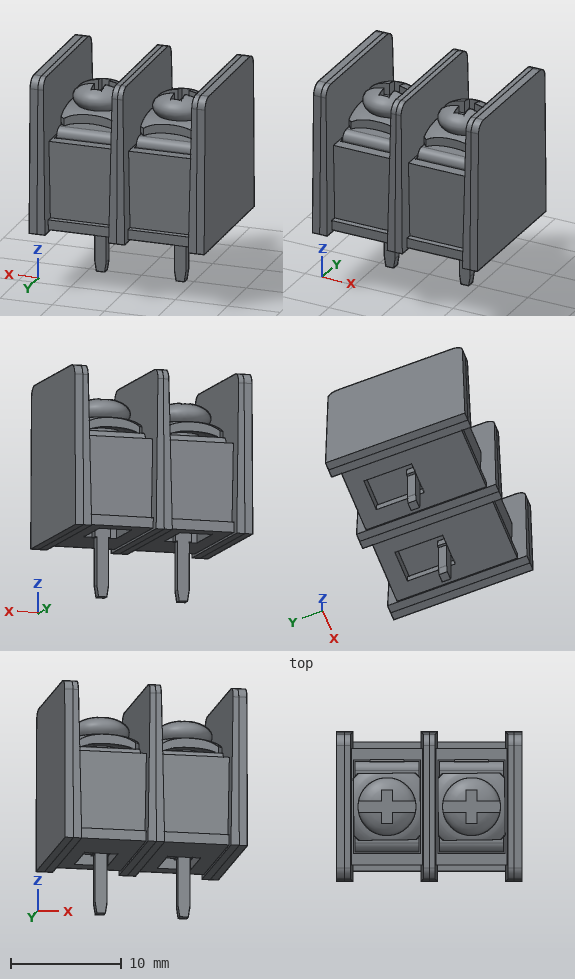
import cadquery as cq
import math

POLES = 2
PITCH = 7.62

WALL_HEIGHT = 14.8
WALL_FOOT_DEPTH = 13.5
WALL_TOP_DEPTH = 12.98
WALL_CORNER_RADIUS = 1.0
HALF_WALL_FOOT = 0.76
HALF_WALL_TOP = 0.5
TOTAL_WIDTH = 16.75
END_PLATE_THICKNESS = (TOTAL_WIDTH - POLES * PITCH) / 2

BASE_BOTTOM = 0.22
BASE_TOP = 1.17
BASE_DEPTH = 11.65
BLOCK_TOP = 8.48
BLOCK_DEPTH = 10.5
CAVITY_WIDTH = 6.03
CAVITY_DEPTH = 8.45
FLOOR_TOP = BASE_TOP
FLOOR_SLOT_WIDTH = 3.05

TERMINAL_WIDTH = 5.79
TERMINAL_DEPTH = 8.12
TERMINAL_TOP = 9.3
TERMINAL_EDGE_RADIUS = 0.8
PIN_WIDTH = 1.1
PIN_THICKNESS = 0.8
TOTAL_HEIGHT = 20.1
PIN_TIP = WALL_HEIGHT - TOTAL_HEIGHT
PIN_TIP_WIDTH = 0.78
PIN_TAPER_LENGTH = 1.0
SHOULDER_WIDTH = 1.5
SHOULDER_BOTTOM = 0.15

WASHER_SIZE = 6.0
WASHER_CORNER = 0.4
WASHER_TURN = 0.8
WASHER_TOP = 10.8
WASHER_FLAT_RADIUS = 2.13
WASHER_TOP_ARC_RADIUS = 2.51
WASHER_UNDERSIDE = 9.9
WASHER_UNDERSIDE_ARC_RADIUS = 3.02

SHANK_DIAMETER = 3.0
SHANK_DEPTH_IN_TERMINAL = 4.02
HEAD_RADIUS = 2.61
HEAD_HALF_HEIGHT = 1.35
HEAD_MIDDLE = 11.45
SLOT_WIDTH = 1.03
CROSS_SLOT_LENGTH = 3.02
SLOT_DEPTH = 1.25

SHANK_RADIUS = SHANK_DIAMETER / 2
SHANK_BOTTOM = TERMINAL_TOP - SHANK_DEPTH_IN_TERMINAL


def box(width, depth, bottom, top):
    """Box centred on the Z axis between two heights."""
    return cq.Workplane("XY", origin=(0, 0, bottom)).rect(width, depth).extrude(top - bottom)


def wall_plate(start, thickness):
    """Upright plate in the YZ plane with the tapered, round-cornered wall outline."""
    return (
        cq.Workplane("YZ", origin=(start, 0, 0))
        .polyline(
            [
                (-WALL_FOOT_DEPTH / 2, 0),
                (WALL_FOOT_DEPTH / 2, 0),
                (WALL_TOP_DEPTH / 2, WALL_HEIGHT),
                (-WALL_TOP_DEPTH / 2, WALL_HEIGHT),
            ]
        )
        .close()
        .extrude(thickness)
        .edges("|X and >Z")
        .fillet(WALL_CORNER_RADIUS)
    )


def half_walls():
    """Two facing half-walls of one pole, thinner towards the top."""
    outer = PITCH / 2
    section = (
        cq.Workplane("XZ")
        .polyline(
            [
                (-outer, 0),
                (HALF_WALL_FOOT - outer, 0),
                (HALF_WALL_TOP - outer, WALL_HEIGHT),
                (-outer, WALL_HEIGHT),
            ]
        )
        .close()
        .extrude(WALL_FOOT_DEPTH / 2, both=True)
    )
    left = wall_plate(-outer, HALF_WALL_FOOT).intersect(section)
    return left.union(left.mirror("YZ"))


def make_housing():
    """One pole of the housing: two half-walls and a block with an open-topped cavity."""
    inner_width = PITCH - 2 * HALF_WALL_TOP
    block = box(inner_width, BLOCK_DEPTH, BASE_BOTTOM, BLOCK_TOP)
    base = box(inner_width, BASE_DEPTH, BASE_BOTTOM, BASE_TOP)
    cavity = box(CAVITY_WIDTH, CAVITY_DEPTH, FLOOR_TOP, BLOCK_TOP)
    slot_front = -PIN_THICKNESS / 2
    slot_depth = CAVITY_DEPTH / 2 - slot_front
    slot_middle = slot_front + slot_depth / 2
    slot = box(FLOOR_SLOT_WIDTH, slot_depth, BASE_BOTTOM, FLOOR_TOP).translate((0, slot_middle, 0))
    return half_walls().union(block).union(base).cut(cavity).cut(slot)


def make_terminal():
    """Terminal with rounded upper edges, a blind screw hole and a tapered solder pin."""
    body = (
        box(TERMINAL_WIDTH, TERMINAL_DEPTH, FLOOR_TOP, TERMINAL_TOP)
        .edges("|X and >Z")
        .fillet(TERMINAL_EDGE_RADIUS)
    )
    hole_floor = cq.Workplane("XY", origin=(0, 0, SHANK_BOTTOM))
    hole = hole_floor.circle(SHANK_RADIUS).extrude(SHANK_DEPTH_IN_TERMINAL)
    taper_start = PIN_TIP + PIN_TAPER_LENGTH
    right_edge = [
        (SHOULDER_WIDTH / 2, FLOOR_TOP),
        (SHOULDER_WIDTH / 2, SHOULDER_BOTTOM),
        (PIN_WIDTH / 2, SHOULDER_BOTTOM),
        (PIN_WIDTH / 2, taper_start),
        (PIN_TIP_WIDTH / 2, PIN_TIP),
    ]
    left_edge = [(-x, z) for x, z in reversed(right_edge)]
    pin = (
        cq.Workplane("XZ")
        .polyline(right_edge + left_edge)
        .close()
        .extrude(PIN_THICKNESS / 2, both=True)
    )
    return body.cut(hole).union(pin)


def dome(flat_height, arc_radius, reach, bottom):
    """Round body with a flat top that curves down beyond the flat radius."""

    def rim(fraction):
        across = fraction * (reach - WASHER_FLAT_RADIUS)
        drop = arc_radius - math.sqrt(arc_radius**2 - across**2)
        return (WASHER_FLAT_RADIUS + across, flat_height - drop)

    return (
        cq.Workplane("XZ")
        .moveTo(0, bottom)
        .lineTo(0, flat_height)
        .lineTo(WASHER_FLAT_RADIUS, flat_height)
        .threePointArc(rim(0.5), rim(1))
        .lineTo(reach, bottom)
        .close()
        .revolve(360, (0, 0, 0), (0, 1, 0))
    )


def make_washer():
    """Square washer with cut corners, domed on top and hollow underneath."""
    reach = WASHER_SIZE / math.sqrt(2)
    square = (
        box(WASHER_SIZE, WASHER_SIZE, TERMINAL_TOP, WASHER_TOP)
        .edges("|Z")
        .chamfer(WASHER_CORNER)
    )
    top = dome(WASHER_TOP, WASHER_TOP_ARC_RADIUS, reach, BLOCK_TOP)
    hollow = dome(WASHER_UNDERSIDE, WASHER_UNDERSIDE_ARC_RADIUS, reach, BLOCK_TOP)
    bore = cq.Workplane("XY").circle(SHANK_RADIUS).extrude(WALL_HEIGHT)
    return square.intersect(top).cut(hollow).cut(bore).rotate((0, 0, 0), (0, 0, 1), WASHER_TURN)


def make_screw():
    """Screw with an elliptical head, a slot right across it and a shorter cross slot."""
    seat_radius = HEAD_RADIUS * math.sqrt(1 - ((HEAD_MIDDLE - WASHER_TOP) / HEAD_HALF_HEIGHT) ** 2)
    lower_angle = math.degrees(math.asin((WASHER_TOP - HEAD_MIDDLE) / HEAD_HALF_HEIGHT))
    head_top = HEAD_MIDDLE + HEAD_HALF_HEIGHT
    body = (
        cq.Workplane("XZ", origin=(0, 0, HEAD_MIDDLE))
        .moveTo(seat_radius, WASHER_TOP - HEAD_MIDDLE)
        .ellipseArc(HEAD_RADIUS, HEAD_HALF_HEIGHT, lower_angle, 90, startAtCurrent=True)
        .lineTo(0, SHANK_BOTTOM - HEAD_MIDDLE)
        .lineTo(SHANK_RADIUS, SHANK_BOTTOM - HEAD_MIDDLE)
        .lineTo(SHANK_RADIUS, WASHER_TOP - HEAD_MIDDLE)
        .close()
        .revolve(360, (0, 0, 0), (0, 1, 0))
    )
    slot = box(2 * HEAD_RADIUS, SLOT_WIDTH, head_top - SLOT_DEPTH, head_top)
    cross_slot = box(SLOT_WIDTH, CROSS_SLOT_LENGTH, head_top - SLOT_DEPTH, head_top)
    return body.cut(slot).cut(cross_slot)


def make_end_plates():
    """Plates that close the two outer sides of the row of poles."""
    row_end = POLES * PITCH / 2
    starts = (-row_end - END_PLATE_THICKNESS, row_end)
    return [wall_plate(start, END_PLATE_THICKNESS) for start in starts]


bodies = [plate.val() for plate in make_end_plates()]
for pole in range(POLES):
    pole_x = (pole - (POLES - 1) / 2) * PITCH
    for part in (make_housing(), make_terminal(), make_washer(), make_screw()):
        bodies.append(part.translate((pole_x, 0, 0)).val())

result = cq.Compound.makeCompound(bodies)